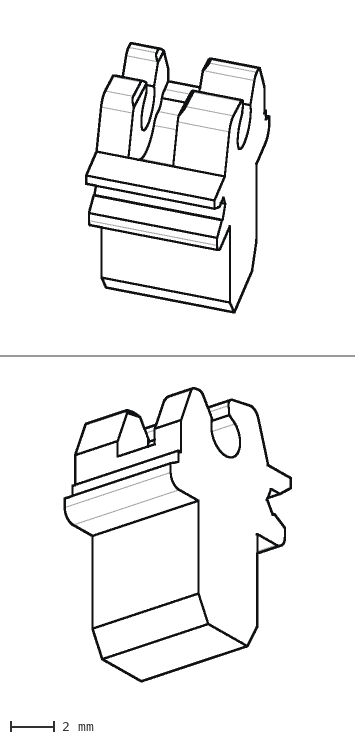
import cadquery as cq
import math

width = 6.1
depth = 9.03

stem_front, stem_back = 2.53, 6.95
stem_foot_inset = 0.74
stem_foot_height = 1.26

flange_bottom = 5.96
flange_front = 0.44
flange_edge_top = 7.07
flange_radius = 0.64

ledge_top = 9.77
socket_y, socket_z = 4.9, 10.1
socket_radius = 1.08
socket_start_angle = 131.0
socket_end_angle = 21.0

front_jaw_root = (1.69, ledge_top)
front_jaw_tip = (2.61, 12.34)
front_jaw_lip = (4.72, 12.0)
front_jaw_throat = (4.63, 11.19)
rear_jaw_lip = (6.71, 11.63)
rear_jaw_tip = (7.42, 11.52)
rear_jaw_root = (8.25, 9.56)
jaw_roundings = [
    (front_jaw_tip, 0.61),
    (front_jaw_lip, 0.37),
    (rear_jaw_lip, 0.4),
    (rear_jaw_tip, 0.32),
]

slot_start = 1.52
slot_width = 2.12
slot_end = slot_start + slot_width
mouth_bevel_width = 0.18
mouth_bevel_height = 0.25


def socket_point(angle):
    """Point on the socket wall at an angle measured from +Y toward +Z."""
    a = math.radians(angle)
    return (socket_y + socket_radius * math.cos(a), socket_z + socket_radius * math.sin(a))


def make_body():
    profile = (
        cq.Workplane("YZ")
        .moveTo(stem_front + stem_foot_inset, 0)
        .lineTo(stem_front, stem_foot_height)
        .lineTo(stem_front, flange_bottom)
        .lineTo(flange_front, flange_bottom)
        .lineTo(flange_front, flange_edge_top)
        .lineTo(1.23, 7.47)
        .lineTo(1.35, 7.39)
        .lineTo(1.78, 8.0)
        .lineTo(1.48, 8.65)
        .lineTo(0.81, 8.65)
        .lineTo(0, 9.25)
        .lineTo(0, ledge_top)
        .lineTo(*front_jaw_root)
        .lineTo(*front_jaw_tip)
        .lineTo(*front_jaw_lip)
        .lineTo(*front_jaw_throat)
        .lineTo(*socket_point(socket_start_angle))
        .threePointArc(socket_point(-90), socket_point(socket_end_angle))
        .lineTo(*rear_jaw_lip)
        .lineTo(*rear_jaw_tip)
        .lineTo(*rear_jaw_root)
        .lineTo(rear_jaw_root[0], 7.93)
        .lineTo(8.45, 7.93)
        .lineTo(8.45, 7.36)
        .lineTo(depth, flange_edge_top)
        .lineTo(depth, flange_bottom)
        .lineTo(stem_back, flange_bottom)
        .lineTo(stem_back, stem_foot_height)
        .lineTo(stem_back - stem_foot_inset, 0)
        .close()
    )
    return profile.extrude(width)


def round_edge(body, corner, radius):
    """Round the X-parallel edge that passes through a (Y, Z) corner."""
    edge_middle = (width / 2, corner[0], corner[1])
    return body.edges(cq.selectors.NearestToPointSelector(edge_middle)).fillet(radius)


def make_slot():
    """Slot whose wavy floor sinks behind the ledge and climbs toward the back."""
    above_part = 13.5
    return (
        cq.Workplane("YZ", origin=(slot_start, 0, 0))
        .moveTo(front_jaw_root[0], above_part)
        .lineTo(*front_jaw_root)
        .lineTo(2.25, 8.96)
        .lineTo(3.72, 7.93)
        .threePointArc((4.97, 7.61), (5.89, 8.1))
        .threePointArc((6.2, 8.35), (6.59, 8.34))
        .threePointArc((6.95, 8.39), (7.19, 8.65))
        .threePointArc((7.4, 8.76), (7.67, 8.77))
        .lineTo(depth, 8.77)
        .lineTo(depth, above_part)
        .close()
        .extrude(slot_width)
    )


def make_mouth_bevel(wall_x, outward, crest_start, crest_end):
    """Wedge that bevels one slot wall along the sloping crest of a jaw."""
    run_y = crest_end[0] - crest_start[0]
    run_z = crest_end[1] - crest_start[1]
    overshoot = 1.23
    length = math.hypot(run_y, run_z)
    along = cq.Vector(0, run_y / length, run_z / length)
    start = cq.Vector(wall_x, *crest_start) - along * overshoot
    crest = cq.Plane(origin=start.toTuple(), xDir=(1, 0, 0), normal=along.toTuple())
    extend = 2.0
    tip_x = outward * mouth_bevel_width * (1 + extend)
    return (
        cq.Workplane(crest)
        .moveTo(0, mouth_bevel_height)
        .lineTo(tip_x, -extend * mouth_bevel_height)
        .lineTo(0, -extend * mouth_bevel_height)
        .close()
        .extrude(length + 2 * overshoot)
    )


result = make_body()
for flange_y in (flange_front, depth):
    result = round_edge(result, (flange_y, flange_bottom), flange_radius)
for jaw_corner, jaw_radius in jaw_roundings:
    result = round_edge(result, jaw_corner, jaw_radius)

result = result.cut(make_slot())
for wall_x, outward in ((slot_start, -1), (slot_end, 1)):
    result = result.cut(make_mouth_bevel(wall_x, outward, front_jaw_tip, front_jaw_lip))
    result = result.cut(make_mouth_bevel(wall_x, outward, rear_jaw_lip, rear_jaw_tip))